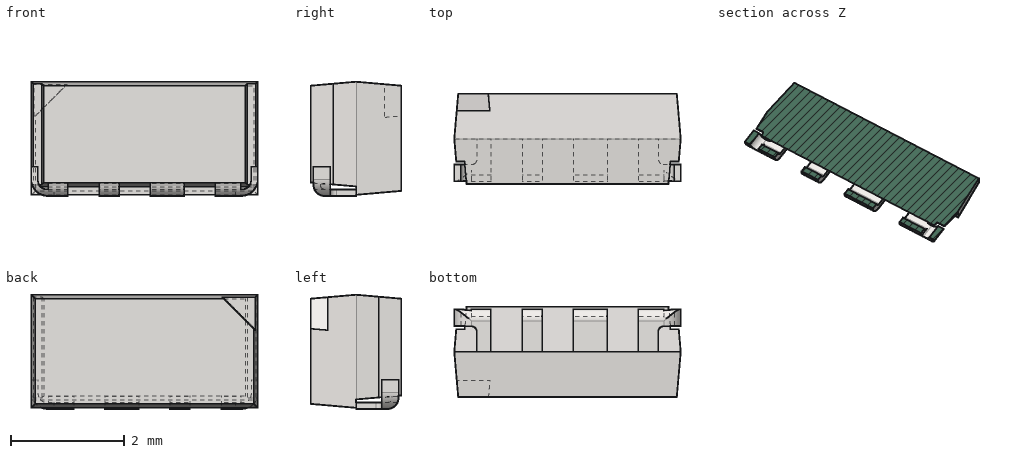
import cadquery as cq
import math

LENGTH = 4.0
HEIGHT = 2.0
HALF_DEPTH = 0.8
DRAFT_ANGLE = 5.0
STANDOFF = 0.15
SHOULDER_DEPTH = 0.4
SHOULDER_INSET = STANDOFF

NOTCH_LEG = 0.67
NOTCH_DEPTH = 0.3

SHEET = 0.12
LEAD_BOTTOM = -0.02
LEAD_FRONT = -0.75
CURL_OUTER_RADIUS = 0.2
CURL_INNER_RADIUS = CURL_OUTER_RADIUS - SHEET
CURL_TOP = 0.32
INNER_LEADS = [(-0.8, -0.45), (0.1, 0.7)]

LEFT_LEAD_INNER_EDGE = 1.35
RIGHT_LEAD_INNER_EDGE = 1.25
FOOT_OUTER_EDGE = 1.6
TAB_WIDTH = 0.3
TAB_TOP = 0.5
TAB_OUTER_RADIUS = 0.3
TAB_INNER_RADIUS = TAB_OUTER_RADIUS / 2
TAB_FILLET = 0.1

TAB_BACK = LEAD_FRONT + TAB_WIDTH
CURL_OUTER_EDGE = LENGTH / 2 - TAB_OUTER_RADIUS


def drafted_block(length, bottom, depth, direction):
    """Block growing from the parting plane along Y, tapering on all four sides."""
    plane = cq.Plane(origin=(0, 0, (bottom + HEIGHT) / 2), xDir=(1, 0, 0), normal=(0, direction, 0))
    return cq.Workplane(plane).rect(length, HEIGHT - bottom).extrude(depth, taper=DRAFT_ANGLE)


def make_body():
    back = drafted_block(LENGTH, 0, HALF_DEPTH, 1)
    shoulder = drafted_block(LENGTH, STANDOFF, SHOULDER_DEPTH, -1)
    front = drafted_block(LENGTH - 2 * SHOULDER_INSET, STANDOFF, HALF_DEPTH, -1)
    return back.union(shoulder).union(front).cut(make_notch())


def make_notch():
    """Triangular prism that slopes off the upper rear corner at 45 degrees."""
    left = -LENGTH / 2
    return (
        cq.Workplane("XZ", origin=(0, HALF_DEPTH, 0))
        .moveTo(left, HEIGHT)
        .lineTo(left + NOTCH_LEG, HEIGHT)
        .lineTo(left, HEIGHT - NOTCH_LEG)
        .close()
        .extrude(NOTCH_DEPTH)
    )


def bent_strip(plane, start, end, top, outer_radius, inner_radius):
    """Sketch of a strip lying flat from start, then bent upwards so its outer face is at end."""
    way = math.copysign(1, end - start)
    inner_end = end - way * SHEET
    sheet_top = LEAD_BOTTOM + SHEET
    return (
        plane.moveTo(start, LEAD_BOTTOM)
        .lineTo(end - way * outer_radius, LEAD_BOTTOM)
        .radiusArc((end, LEAD_BOTTOM + outer_radius), -way * outer_radius)
        .lineTo(end, top)
        .lineTo(inner_end, top)
        .lineTo(inner_end, sheet_top + inner_radius)
        .radiusArc((inner_end - way * inner_radius, sheet_top), way * inner_radius)
        .lineTo(start, sheet_top)
        .close()
    )


def make_lead(left, right):
    """Foot running forward from the parting plane and curling up into the body."""
    plane = cq.Workplane("YZ", origin=(left, 0, 0))
    profile = bent_strip(plane, 0, LEAD_FRONT, CURL_TOP, CURL_OUTER_RADIUS, CURL_INNER_RADIUS)
    return profile.extrude(right - left)


def make_right_corner_lead(inner_edge):
    """Curled lead at the +X end, with its tab and the fillet between foot and tab."""
    foot = make_lead(inner_edge, FOOT_OUTER_EDGE)
    curl = make_lead(FOOT_OUTER_EDGE, CURL_OUTER_EDGE).intersect(make_tab_envelope())
    return foot.union(curl).union(make_tab()).union(make_tab_fillet())


def make_tab():
    plane = cq.Workplane("XZ", origin=(0, TAB_BACK, 0))
    profile = bent_strip(
        plane, FOOT_OUTER_EDGE, LENGTH / 2, TAB_TOP, TAB_OUTER_RADIUS, TAB_INNER_RADIUS
    )
    return profile.extrude(TAB_WIDTH).intersect(make_tab_envelope())


def make_tab_envelope():
    """Block as wide as the tab, with the rounded lower front edge of the curled leads."""
    return (
        cq.Workplane()
        .box(LENGTH / 2, TAB_WIDTH, TAB_TOP - LEAD_BOTTOM, centered=False)
        .edges("|X and <Y and <Z")
        .fillet(CURL_OUTER_RADIUS)
        .translate((0, LEAD_FRONT, LEAD_BOTTOM))
    )


def make_tab_fillet():
    return (
        cq.Workplane(origin=(0, 0, LEAD_BOTTOM))
        .moveTo(FOOT_OUTER_EDGE, TAB_BACK)
        .lineTo(FOOT_OUTER_EDGE + TAB_FILLET, TAB_BACK)
        .radiusArc((FOOT_OUTER_EDGE, TAB_BACK + TAB_FILLET), TAB_FILLET)
        .close()
        .extrude(SHEET)
    )


result = make_body()
for left_edge, right_edge in INNER_LEADS:
    result = result.union(make_lead(left_edge, right_edge))
result = result.union(make_right_corner_lead(RIGHT_LEAD_INNER_EDGE))
result = result.union(make_right_corner_lead(LEFT_LEAD_INNER_EDGE).mirror("YZ"))